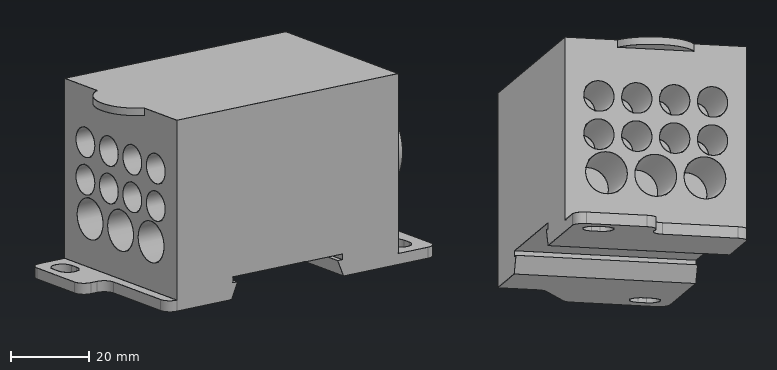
import cadquery as cq
import math

body_width = 48.0
body_length = 71.0
body_height = 51.0
half_width = body_width / 2

flange_thickness = 3.0
corner_radius = 3.0
front_ear_reach = 11.0
front_ear_width = 22.0
front_step_reach = 3.0
rear_ear_reach = 12.5
rear_ear_width = 27.0
rear_flank_angle = 55.0

screw_slot_length = 8.0
screw_slot_width = 5.8
front_slot_side_offset = 7.5
rear_slot_side_offset = 7.7
front_slot_wall_offset = 5.4
rear_slot_wall_offset = 5.5

rail_width = 35.0
rail_depth = 6.0
rail_start = (body_length - rail_width) / 2
rail_end = rail_start + rail_width
lip_height = 4.5
lip_overhang = 1.5
lip_flare = 1.9

entry_depth = 20.0
small_entry_diameter = 8.0
small_entry_pitch = 10.0
small_entry_columns = 4
small_entry_rows = (26.0, 36.0)
large_entry_diameter = 11.0
large_entry_pitch = 13.0
large_entry_columns = 3
large_entry_row = 16.0

collar_diameter = 25.0
collar_length = 10.0
tab_radius = 11.5
tab_reach = 6.0
tab_thickness = 2.0


def make_body():
    return cq.Workplane("XY").box(body_width, body_length, body_height, centered=(True, False, False))


def make_front_flange():
    """Stepped plate: a long ear on the left and a shallow strip on the right."""
    ear_edge = front_ear_width - half_width
    root = corner_radius
    outline = [
        (-half_width, root),
        (-half_width, -front_ear_reach),
        (ear_edge, -front_ear_reach),
        (ear_edge, -front_step_reach),
        (half_width, -front_step_reach),
        (half_width, root),
    ]
    plate = cq.Workplane("XY").polyline(outline).close().extrude(flange_thickness)
    return plate.edges("|Z").edges("not >Y").fillet(corner_radius)


def make_rear_flange():
    """Ear on the right whose left flank slopes out and blends into the rear face."""
    ear_end = body_length + rear_ear_reach
    flank_top = half_width - rear_ear_width
    flank_foot = flank_top - rear_ear_reach / math.tan(math.radians(rear_flank_angle))
    root = body_length - corner_radius
    outline = [
        (-half_width, root),
        (half_width, root),
        (half_width, ear_end),
        (flank_top, ear_end),
        (flank_foot, body_length),
        (-half_width, body_length),
    ]
    plate = cq.Workplane("XY").polyline(outline).close().extrude(flange_thickness)
    foot = cq.selectors.NearestToPointSelector((flank_foot, body_length, flange_thickness / 2))
    return plate.edges("|Z and >Y").fillet(corner_radius).edges("|Z").edges(foot).fillet(corner_radius)


def make_screw_slot(x, y):
    return (
        cq.Workplane("XY")
        .center(x, y)
        .slot2D(screw_slot_length, screw_slot_width)
        .extrude(flange_thickness)
    )


def make_rail_channel():
    """Channel across the full width, undercut above two flared lips."""
    front_lip = rail_start + lip_overhang
    rear_lip = rail_end - lip_overhang
    outline = [
        (front_lip - lip_flare, 0),
        (front_lip, lip_height),
        (rail_start, lip_height),
        (rail_start, rail_depth),
        (rail_end, rail_depth),
        (rail_end, lip_height),
        (rear_lip, lip_height),
        (rear_lip + lip_flare, 0),
    ]
    return cq.Workplane("YZ").polyline(outline).close().extrude(half_width, both=True)


def make_entry_row(diameter, pitch, columns, height):
    """Blind holes in one row, running inward from the front face."""
    first = -pitch * (columns - 1) / 2
    centres = [(first + pitch * column, height) for column in range(columns)]
    return cq.Workplane("XZ").pushPoints(centres).circle(diameter / 2).extrude(-entry_depth)


def make_collar():
    return (
        cq.Workplane("XZ", origin=(0, body_length, body_height / 2))
        .circle(collar_diameter / 2)
        .extrude(-collar_length)
    )


def make_finger_tab():
    """Disc flush with the top face; its front segment overhangs the front face."""
    return (
        cq.Workplane("XY", origin=(0, tab_radius - tab_reach, body_height))
        .circle(tab_radius)
        .extrude(-tab_thickness)
    )


result = make_body().union(make_front_flange()).union(make_rear_flange())
result = result.union(make_collar()).union(make_finger_tab())

result = result.cut(make_rail_channel())
result = result.cut(make_screw_slot(front_slot_side_offset - half_width, -front_slot_wall_offset))
result = result.cut(make_screw_slot(half_width - rear_slot_side_offset, body_length + rear_slot_wall_offset))

for row_height in small_entry_rows:
    result = result.cut(
        make_entry_row(small_entry_diameter, small_entry_pitch, small_entry_columns, row_height)
    )
result = result.cut(
    make_entry_row(large_entry_diameter, large_entry_pitch, large_entry_columns, large_entry_row)
)